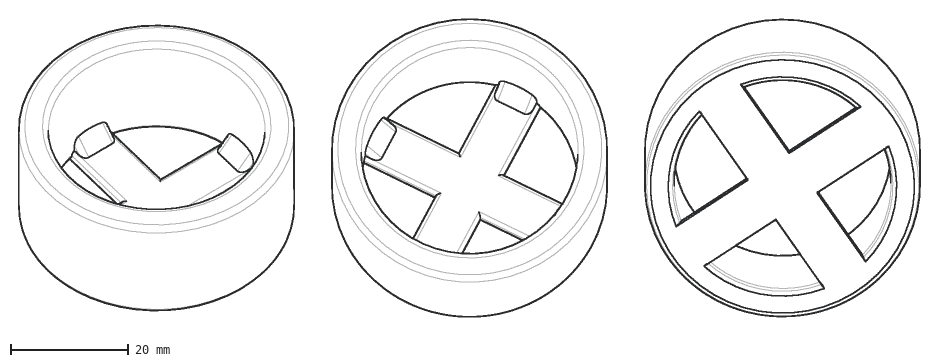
import cadquery as cq

outer_diameter = 47.0
bore_diameter = 37.0
height = 22.0
edge_radius = 1.0
bottom_chamfer = 1.0

arm_width = 8.5
floor_thickness = 2.0
arm_edge_radius = 0.65

wedge_width = 7.15
wedge_toe = 15.45
wedge_edge_radius = 1.0

outer_radius = outer_diameter / 2
bore_radius = bore_diameter / 2
wall_middle = (outer_radius + bore_radius) / 2


def make_ring():
    """Tube with rounded top rims and chamfered bottom rims whose shoulders are softened."""
    ring = cq.Workplane("XY").circle(outer_radius).circle(bore_radius).extrude(height)
    ring = ring.faces("<Z").edges().chamfer(bottom_chamfer)
    shoulder_zone = cq.selectors.BoxSelector(
        (-outer_diameter, -outer_diameter, bottom_chamfer / 2),
        (outer_diameter, outer_diameter, height / 2),
    )
    ring = ring.edges("%CIRCLE").edges(shoulder_zone).fillet(edge_radius)
    return ring.faces(">Z").edges().fillet(edge_radius)


def make_cross():
    """Floor of two crossing arms with rounded upper edges, ending inside the wall."""
    length = 2 * wall_middle
    centered = (True, True, False)
    arm_x = cq.Workplane("XY").box(length, arm_width, floor_thickness, centered=centered)
    arm_y = cq.Workplane("XY").box(arm_width, length, floor_thickness, centered=centered)
    return arm_x.union(arm_y).faces(">Z").edges().fillet(arm_edge_radius)


def make_wedge():
    """Wedge on the +X arm: a 45-degree slope with rounded side edges, backed by the wall."""
    run = wall_middle - wedge_toe + floor_thickness
    foot = wall_middle - run
    wedge = (
        cq.Workplane("XZ", origin=(0, wedge_width / 2, 0))
        .moveTo(foot, 0)
        .lineTo(wall_middle, 0)
        .lineTo(wall_middle, run)
        .close()
        .extrude(wedge_width)
    )
    return wedge.edges("not(|X or |Y or |Z)").fillet(wedge_edge_radius)


result = make_ring().union(make_cross())
for quarter in range(4):
    result = result.union(make_wedge().rotate((0, 0, 0), (0, 0, 1), 90 * quarter))